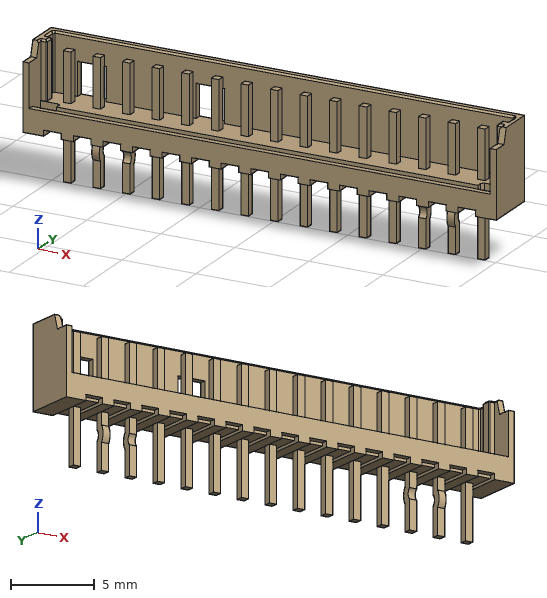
import cadquery as cq


length = 32.0
depth = 3.65
height = 5.5
back_y = 1.5
front_y = back_y - depth
half_length = length / 2

pin_count = 15
pitch = length / (pin_count + 1)
pin_size = 0.5
pin_tail = 3.5
pin_top = 4.9

kink_out_radius = 1.0
kink_in_radius = kink_out_radius - pin_size
kink_z = -1.2
kink_centre_offset = 0.58
forward_kinks = (1, 13)
backward_kinks = (2, 12)

side_wall = 0.4
back_wall = 0.48
floor_z = 1.6
corner_bevel = 0.1
rim_bevel = 0.13

rib_back_y = 0.13
rib_front_y = -0.58
rib_reach = 0.4
rib_bevel = 0.05

sill_width = 0.4
groove_depth = 0.48
groove_back_y = -1.15
groove_end_back_y = -0.65
groove_end_length = 1.35
groove_bevel = 0.15

shoulder_z = 4.5
slope_top_y = -0.85
slope_bottom_y = -1.15

window_gaps = (0, 4)
window_width = 1.92
window_top = 3.85

notch_width = 1.2
notch_height = 0.2
front_notch_height = 0.4
front_notch_depth = 0.48


def box(x0, x1, y0, y1, z0, z1):
    return cq.Workplane("XY").box(x1 - x0, y1 - y0, z1 - z0, centered=False).translate((x0, y0, z0))


def mirrored_outline(right_side):
    """Closed outline from its right-hand points and their mirror images across X = 0."""
    return right_side + [(-x, y) for x, y in reversed(right_side)]


def pin_x(index):
    return (index - (pin_count - 1) / 2) * pitch


def housing_block():
    profile = [
        (back_y, 0),
        (back_y, height),
        (slope_top_y, height),
        (slope_bottom_y, shoulder_z),
        (front_y, shoulder_z),
        (front_y, 0),
    ]
    return cq.Workplane("YZ").polyline(profile).close().extrude(length).translate((-half_length, 0, 0))


def cavity():
    side_x = half_length - side_wall
    rib_x = side_x - rib_reach
    inner_back_y = back_y - back_wall
    open_y = front_y - side_wall
    outline = mirrored_outline([
        (side_x, open_y),
        (side_x, rib_front_y),
        (rib_x + rib_bevel, rib_front_y),
        (rib_x, rib_front_y + rib_bevel),
        (rib_x, rib_back_y - rib_bevel),
        (rib_x + rib_bevel, rib_back_y),
        (side_x, rib_back_y),
        (side_x, inner_back_y - corner_bevel),
        (side_x - corner_bevel, inner_back_y),
    ])
    space = cq.Workplane("XY").workplane(offset=floor_z).polyline(outline).close().extrude(height - floor_z)
    rim = (
        cq.Workplane("XY").workplane(offset=height - rim_bevel)
        .polyline(outline).close().extrude(rim_bevel, taper=-45)
    )
    return space.union(rim)


def floor_groove():
    end_x = half_length - side_wall
    inner_x = end_x - groove_end_length
    outline = mirrored_outline([
        (end_x, front_y + sill_width),
        (end_x, groove_end_back_y),
        (inner_x + groove_bevel, groove_end_back_y),
        (inner_x, groove_end_back_y - groove_bevel),
        (inner_x, groove_back_y),
    ])
    return (
        cq.Workplane("XY").workplane(offset=floor_z - groove_depth)
        .polyline(outline).close().extrude(groove_depth)
    )


def windows():
    cuts = cq.Workplane("XY")
    for gap in window_gaps:
        x = pin_x(gap) + pitch / 2
        cuts = cuts.add(
            box(x - window_width / 2, x + window_width / 2, back_y - back_wall, back_y, floor_z, window_top)
        )
    return cuts.combine()


def notches():
    cuts = cq.Workplane("XY")
    for index in range(pin_count):
        left = pin_x(index) - notch_width / 2
        right = left + notch_width
        through = box(left, right, front_y, back_y, 0, notch_height)
        front = box(left, right, front_y, front_y + front_notch_depth, 0, front_notch_height)
        cuts = cuts.add(through.union(front))
    return cuts.combine()


def pin(index):
    half = pin_size / 2
    x = pin_x(index)
    straight = box(x - half, x + half, -half, half, -pin_tail, pin_top)
    if index in forward_kinks:
        direction = -1
    elif index in backward_kinks:
        direction = 1
    else:
        return straight
    centre_y = -direction * kink_centre_offset

    def cylinder(radius):
        return (
            cq.Workplane("YZ").center(centre_y, kink_z).circle(radius)
            .extrude(pin_size).translate((x - half, 0, 0))
        )

    near_y, far_y = sorted((0, direction * kink_out_radius))
    bulge_side = box(x - half, x + half, near_y, far_y, -pin_tail, 0)
    bulge = cylinder(kink_out_radius).intersect(bulge_side)
    return straight.union(bulge).cut(cylinder(kink_in_radius))


result = housing_block().cut(cavity()).cut(floor_groove()).cut(windows()).cut(notches())
for pin_index in range(pin_count):
    result = result.union(pin(pin_index))